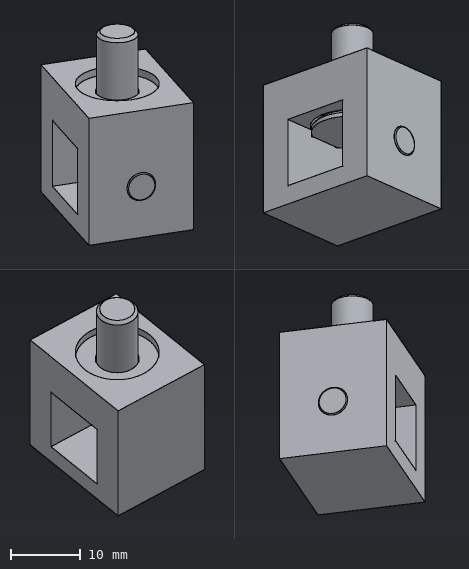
import cadquery as cq

housing_width = 20.0
housing_depth = 16.0
housing_height = 20.0
window_width = 10.48
window_height = 10.37
window_floor = 2.88

total_height = 28.25
bore_diameter = 12.0
head_diameter = 11.72
head_side_height = 0.65
head_chamfer = 0.5
head_overhang = 0.95
stem_diameter = 6.0
stem_chamfer = 0.48

ring_hole_diameter = 6.25
ring_thickness = 1.98
ring_recess = 1.2

screw_diameter = 4.35
screw_chamfer = 0.17
screw_height = 8.05
screw_projection = 0.2

window_ceiling = window_floor + window_height
bore_floor = window_ceiling - head_overhang
head_height = head_side_height + head_chamfer
wall_thickness = (housing_width - window_width) / 2


def upright_cylinder(diameter, bottom, height):
    return cq.Workplane("XY").workplane(offset=bottom).circle(diameter / 2).extrude(height)


def wall_cylinder(length):
    """Cylinder along X that starts at the +X side of the window."""
    return (
        cq.Workplane("YZ", origin=(window_width / 2, 0, screw_height))
        .circle(screw_diameter / 2)
        .extrude(length)
    )


def make_housing():
    block = cq.Workplane("XY").box(
        housing_width, housing_depth, housing_height, centered=(True, True, False)
    )
    window = (
        cq.Workplane("XY")
        .box(window_width, housing_depth, window_height, centered=(True, True, False))
        .translate((0, 0, window_floor))
    )
    bore = upright_cylinder(bore_diameter, bore_floor, housing_height - bore_floor)
    screw_hole = wall_cylinder(wall_thickness)
    return block.cut(window).cut(bore).cut(screw_hole)


def make_plunger():
    head = upright_cylinder(head_diameter, bore_floor, head_height)
    head = head.faces(">Z").chamfer(head_chamfer)
    stem = upright_cylinder(stem_diameter, bore_floor, total_height - bore_floor)
    stem = stem.faces(">Z").chamfer(stem_chamfer)
    return head.union(stem)


def make_ring():
    bottom = housing_height - ring_recess - ring_thickness
    ring = upright_cylinder(bore_diameter, bottom, ring_thickness)
    return ring.cut(upright_cylinder(ring_hole_diameter, bottom, ring_thickness))


def make_side_screw():
    screw = wall_cylinder(wall_thickness + screw_projection)
    return screw.faces(">X").chamfer(screw_chamfer)


housing = make_housing()
plunger = make_plunger()
ring = make_ring()
side_screw = make_side_screw()

result = cq.Compound.makeCompound([housing.val(), plunger.val(), ring.val(), side_screw.val()])